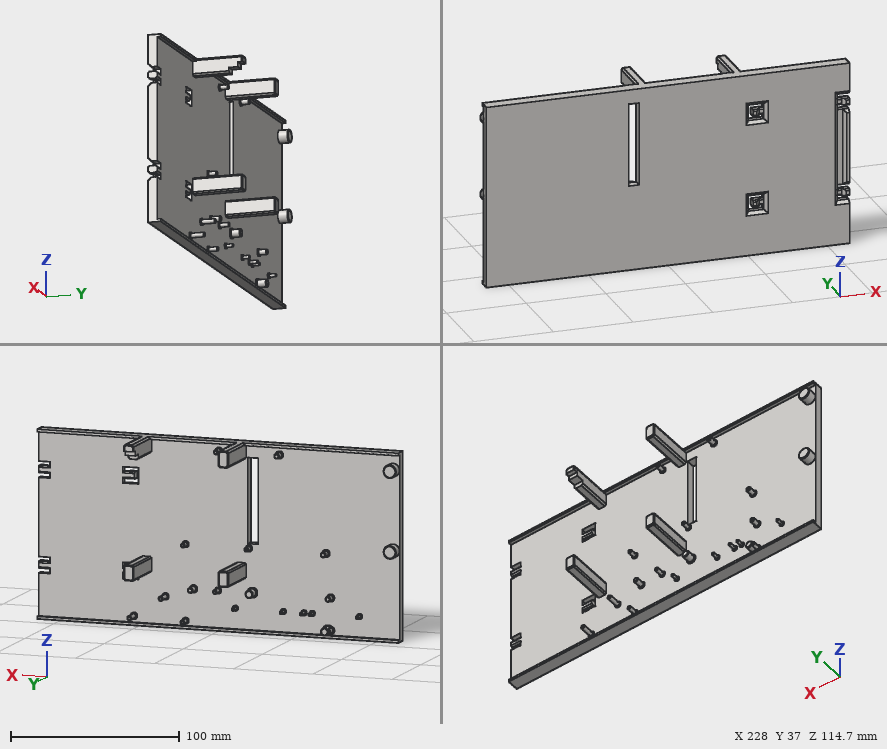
import cadquery as cq
import math

length = 228.0
height = 114.7
overall_depth = 37.0
plate_thickness = 5.7

lip_depth = 8.0
lip_height = 1.5

slot_x = 92.5
slot_z = 79.5
slot_width = 6.4
slot_height = 52.0

window_opening = 9.8
bevel = 2.0
window_x = 169.9
window_pitch = 55.9
edge_window_x = window_x + window_pitch
window_rows = (32.4, 90.0)

island_x = 224.1

tongue_height = 4.3
tongue_chamfer = 1.0
tongue_reach = 7.3
tongue_head_length = 4.3

post_width = 6.4
post_columns = (100.0, 159.8)
upper_post_height = 10.3
upper_post_z = height - upper_post_height / 2
upper_post_chamfer = 1.1
lower_post_height = 9.5
lower_post_z = 37.2
lower_post_chamfer = 1.0
post_end_chamfer = 0.7

post_end_steps = ((3.0, 6.2), (8.5, 3.2))

large_peg_diameter = 8.0
large_peg_rows = (55.2, 104.0)
peg_tip_chamfer = 0.5
pad_margin = 0.7
pad_thickness = 0.7
low_top = 10.7
middle_top = 11.5
high_top = 12.0
tall_top = 14.8
bottom_row = 4.5
second_row = 14.1
third_row = 24.2
fourth_row = 50.8
top_row = 108.5

small_pegs = (
    (25.0, second_row, 1.9, low_top),
    (43.3, third_row, 3.2, middle_top),
    (43.3, bottom_row, 3.2, middle_top),
    (45.1, bottom_row, 4.8, high_top),
    (46.3, fourth_row, 3.2, middle_top),
    (55.0, second_row, 1.9, low_top),
    (60.2, second_row, 1.9, middle_top),
    (73.2, second_row, 1.9, low_top),
    (75.7, top_row, 3.2, middle_top),
    (92.8, third_row, 4.8, high_top),
    (94.8, fourth_row, 2.5, middle_top),
    (103.5, second_row, 1.9, low_top),
    (114.0, top_row, 2.7, middle_top),
    (114.5, third_row, 2.5, high_top),
    (130.0, third_row, 3.2, high_top),
    (135.0, bottom_row, 2.5, high_top),
    (135.0, fourth_row, 2.5, middle_top),
    (147.7, 18.5, 2.7, tall_top),
    (167.5, 5.5, 2.7, tall_top),
)


def box(x_range, y_range, z_range):
    """Box given by its limits along each axis."""
    size = [high - low for low, high in (x_range, y_range, z_range)]
    corner = (x_range[0], y_range[0], z_range[0])
    return cq.Workplane("XY").box(*size, centered=False).translate(corner)


def span(center, size):
    return (center - size / 2, center + size / 2)


def tapered_block(x_range, z_range, y_start, y_end, growth):
    """Block with the given limits at y_start, each side moving out by growth towards y_end."""
    x_size = x_range[1] - x_range[0]
    z_size = z_range[1] - z_range[0]
    return (
        cq.Workplane("XZ", origin=(sum(x_range) / 2, y_start, sum(z_range) / 2))
        .rect(x_size, z_size)
        .workplane(offset=y_start - y_end)
        .rect(x_size + 2 * growth, z_size + 2 * growth)
        .loft(combine=True)
    )


def bevelled_mouth(x_range, z_range):
    """Recess one bevel deep whose floor has the given limits and whose walls flare at 45 degrees."""
    return tapered_block(x_range, z_range, bevel, 0, bevel)


def make_plate():
    plate = box((0, length), (0, plate_thickness), (0, height))
    for lip_bottom in (0, height - lip_height):
        plate = plate.union(box((0, length), (0, lip_depth), (lip_bottom, lip_bottom + lip_height)))
    through = (0, plate_thickness)
    return plate.cut(box(span(slot_x, slot_width), through, span(slot_z, slot_height)))


def cut_windows(plate):
    through = (0, plate_thickness)
    for z in window_rows:
        opening_z = span(z, window_opening)
        plate = plate.cut(bevelled_mouth(span(window_x, window_opening), opening_z))
        plate = plate.cut(box(span(window_x, window_opening), through, opening_z))

    floor_start = edge_window_x - window_opening / 2
    recess_x = (floor_start, length + bevel)
    recess_z = (window_rows[0] - window_opening / 2, window_rows[1] + window_opening / 2)
    plate = plate.cut(bevelled_mouth(recess_x, recess_z))
    for z in window_rows:
        plate = plate.cut(box(recess_x, through, span(z, window_opening)))
    return plate


def make_island():
    """Island between the edge windows, bevelled up to the level of the front face."""
    bottom = window_rows[0] + window_opening / 2
    top = window_rows[1] - window_opening / 2
    island = tapered_block((island_x, length + bevel), (bottom, top), bevel, 0, -bevel)
    return island.intersect(box((0, length), (0, bevel), (0, height)))


def make_tongue(wall_x, tip_x, z):
    """Bar along X from a wall to a tip, with a head at the tip ramping forward to the front face."""
    toward_wall = math.copysign(1, wall_x - tip_x)
    head_x = tip_x + toward_wall * tongue_head_length
    ramp_top_x = head_x - toward_wall * bevel
    z_range = span(z, tongue_height)

    bar = box(sorted((wall_x, tip_x)), (bevel, plate_thickness), z_range)
    bar = bar.edges("|X").chamfer(tongue_chamfer)
    head = box(sorted((head_x, tip_x)), (0, plate_thickness), z_range)
    head = head.edges("|X").chamfer(tongue_chamfer)
    ramp_waste = (
        cq.Workplane("XY")
        .polyline([(ramp_top_x, 0), (head_x, 0), (head_x, bevel)])
        .close()
        .extrude(height)
    )
    return bar.union(head.cut(ramp_waste))


def make_tongues():
    """Tongues from the +X wall of each inner window and the inner wall of each edge window."""
    wall = window_x + window_opening / 2
    edge_wall = edge_window_x - window_opening / 2
    tongues = cq.Workplane("XY")
    for z in window_rows:
        tongues = tongues.union(make_tongue(wall, wall - tongue_reach, z))
        tongues = tongues.union(make_tongue(edge_wall, length, z))
    return tongues


def make_post(x, z, post_height, chamfer):
    """Post along Y, chamfered along its length and around its free end."""
    post = box(span(x, post_width), (plate_thickness, overall_depth), span(z, post_height))
    return post.edges("|Y").chamfer(chamfer).faces(">Y").chamfer(post_end_chamfer)


def make_posts():
    posts = cq.Workplane("XY")
    for x in post_columns:
        posts = posts.union(make_post(x, upper_post_z, upper_post_height, upper_post_chamfer))
        posts = posts.union(make_post(x, lower_post_z, lower_post_height, lower_post_chamfer))

    post_bottom = upper_post_z - upper_post_height / 2
    for step_length, step_depth in post_end_steps:
        step_y = (overall_depth - step_length, overall_depth)
        step_z = (post_bottom, post_bottom + step_depth)
        posts = posts.cut(box(span(post_columns[1], post_width), step_y, step_z))
    return posts


def make_disc(x, z, diameter, top):
    """Disc standing on the back of the plate."""
    disc = cq.Workplane("XZ", origin=(x, plate_thickness, z)).circle(diameter / 2)
    return disc.extrude(plate_thickness - top)


def make_peg(x, z, diameter, top):
    return make_disc(x, z, diameter, top).faces(">Y").chamfer(peg_tip_chamfer)


def make_pegs():
    """Large pegs flush with the -X end, and small pegs that each stand on a thin round pad."""
    pegs = cq.Workplane("XY")
    for z in large_peg_rows:
        pegs = pegs.union(make_peg(large_peg_diameter / 2, z, large_peg_diameter, high_top))
    for x, z, diameter, top in small_pegs:
        pad_diameter = diameter + 2 * pad_margin
        pegs = pegs.union(make_disc(x, z, pad_diameter, plate_thickness + pad_thickness))
        pegs = pegs.union(make_peg(x, z, diameter, top))
    return pegs


plate = cut_windows(make_plate())
result = plate.union(make_island()).union(make_tongues()).union(make_posts()).union(make_pegs())